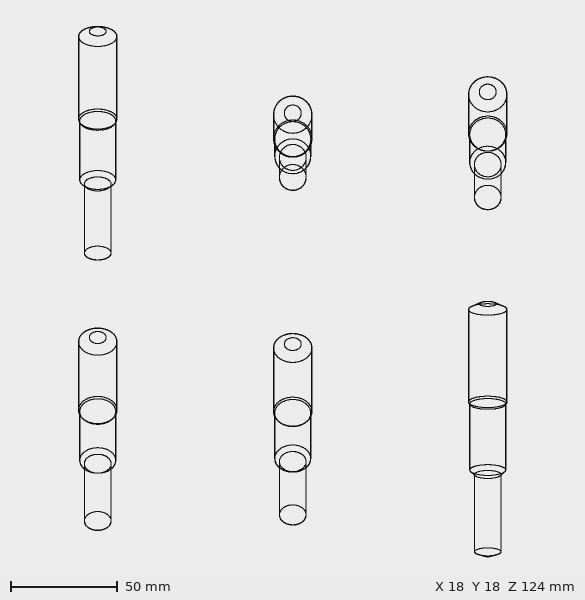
import cadquery as cq

total_height = 124.0

grip_radius = 18.0 / 2
grip_bottom = 75.0
grip_top_radius = 4.0
top_bevel_height = 2.7
bottom_bevel_height = 1.0

collar_radius = 16.9 / 2
shank_radius = 12.5 / 2
collar_bevel = collar_radius - shank_radius
collar_bottom = 42.7
point_height = 2.6


def revolve_outline(points):
    """Turn a closed (radius, height) outline around the Z axis."""
    return cq.Workplane("XZ").polyline(points).close().revolve(360, (0, 0, 0), (0, 1, 0))


def make_grip():
    """Cylinder with a wide bevel on top and a small one down to the collar."""
    return revolve_outline([
        (0, grip_bottom),
        (collar_radius, grip_bottom),
        (grip_radius, grip_bottom + bottom_bevel_height),
        (grip_radius, total_height - top_bevel_height),
        (grip_top_radius, total_height),
        (0, total_height),
    ])


def make_punch():
    """Collar, shank and point, standing flat against the underside of the grip."""
    return revolve_outline([
        (0, 0),
        (shank_radius, point_height),
        (shank_radius, collar_bottom - collar_bevel),
        (collar_radius, collar_bottom),
        (collar_radius, grip_bottom),
        (0, grip_bottom),
    ])


grip = make_grip()
punch = make_punch()

result = cq.Compound.makeCompound([grip.val(), punch.val()])